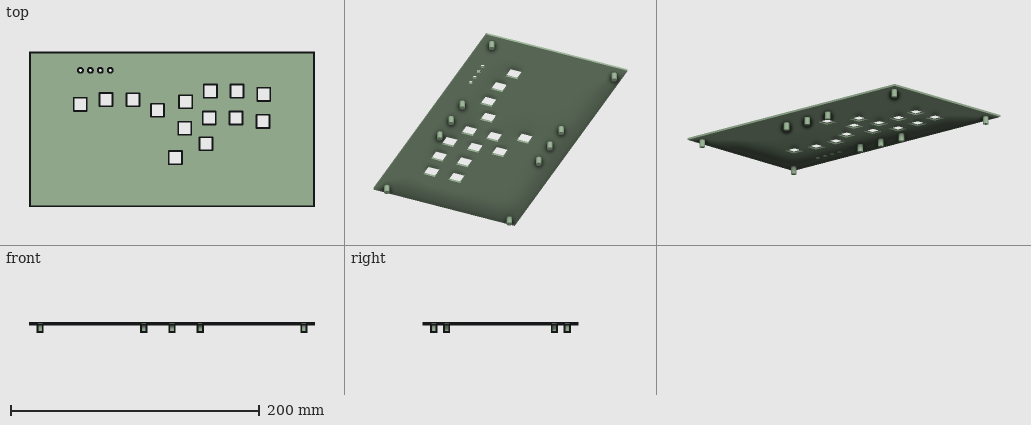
import cadquery as cq

plate_length = 228.6
plate_width = 123.83
total_height = 7.6
plate_thickness = 1.6

pin_diameter = 4.5
pin_length = total_height - plate_thickness
corner_pin_inset = 8.25
corner_pin_x = plate_length / 2 - corner_pin_inset
corner_pin_y = plate_width / 2 - corner_pin_inset
inner_pin_spacing_x = 22.7
inner_pin_y = 43.3

small_hole_diameter = 3.83
small_hole_count = 4
small_hole_pitch = 8.0
first_small_hole_x = -73.6
small_hole_y = 47.5

opening_side = 10.35
opening_centers = [
    (-73.8, 20.1),
    (-53.1, 24.0),
    (-31.4, 23.9),
    (-11.65, 15.45),
    (11.0, 22.2),
    (30.8, 30.8),
    (52.3, 30.8),
    (73.8, 28.2),
    (10.25, 0.9),
    (29.9, 9.2),
    (51.4, 9.2),
    (73.15, 6.5),
    (27.3, -11.5),
    (2.7, -22.65),
]


def make_plate():
    return cq.Workplane("XY").box(
        plate_length, plate_width, plate_thickness, centered=(True, True, False)
    )


def pin_centers():
    centers = []
    for side in (-1, 1):
        for end in (-1, 1):
            centers.append((end * corner_pin_x, side * corner_pin_y))
        for column in (-1, 0, 1):
            centers.append((column * inner_pin_spacing_x, side * inner_pin_y))
    return centers


def add_pins(body):
    pins = cq.Workplane("XY").pushPoints(pin_centers()).circle(pin_diameter / 2).extrude(-pin_length)
    return body.union(pins)


def cut_small_holes(body):
    centers = [(first_small_hole_x + i * small_hole_pitch, small_hole_y) for i in range(small_hole_count)]
    holes = cq.Workplane("XY").pushPoints(centers).circle(small_hole_diameter / 2).extrude(plate_thickness)
    return body.cut(holes)


def cut_openings(body):
    openings = (
        cq.Workplane("XY")
        .pushPoints(opening_centers)
        .rect(opening_side, opening_side)
        .extrude(plate_thickness)
    )
    return body.cut(openings)


plate_with_pins = add_pins(make_plate())
plate_with_holes = cut_small_holes(plate_with_pins)
result = cut_openings(plate_with_holes)